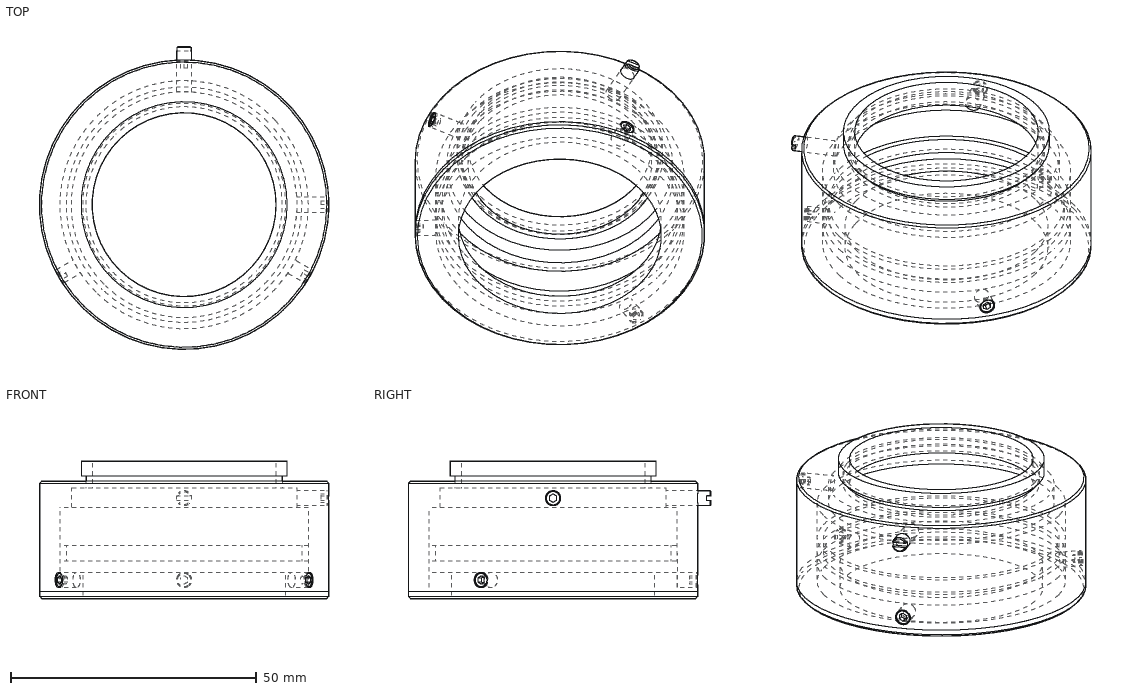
import cadquery as cq
import math

body_radius = 29.5
total_height = 28.0
screw_tip_reach = 32.2

cap_flange_top = 1.5
cap_plug_top = 5.35
spacer_bottom = 7.7
spacer_top = 10.85
bore_top = 18.6
adapter_bottom = 22.5
housing_top = 23.95
collar_height = 3.0

adapter_bore_radius = 18.7
neck_radius = 20.0
cap_bore_radius = 20.7
collar_radius = 21.0
recess_radius = 23.0
spacer_bore_radius = 24.0
housing_bore_radius = 25.3

cap_chamfer = 0.5
housing_chamfer = 0.45

screw_radius = 1.55
lower_screw_height = 3.8
upper_screw_height = 20.5
lower_screw_angles = (90, 210, 330)
side_screw_angle = 0
slotted_screw_angle = 90
slotted_screw_chamfer = 0.25
socket_screw_chamfer = 0.2
screw_recess = 0.2
hex_across_flats = 1.5
hex_depth = 1.5
slot_width = 0.9
slot_depth = 0.9

cut_overrun = 0.6

socket_screw_places = [(angle, lower_screw_height, housing_bore_radius) for angle in lower_screw_angles]
socket_screw_places.append((side_screw_angle, upper_screw_height, recess_radius))


def tube(outer_radius, inner_radius, bottom, top):
    """Ring about the Z axis between two heights."""
    profile = cq.Workplane("XY").workplane(offset=bottom).circle(outer_radius).circle(inner_radius)
    return profile.extrude(top - bottom)


def cylinder(radius, bottom, top):
    """Solid disc about the Z axis between two heights."""
    return cq.Workplane("XY").workplane(offset=bottom).circle(radius).extrude(top - bottom)


def outward_direction(angle):
    """Horizontal unit vector at an angle from the X axis, in degrees."""
    return cq.Vector(math.cos(math.radians(angle)), math.sin(math.radians(angle)), 0)


def radial_plane(angle, height, distance):
    """Workplane facing outwards, at a distance from the axis in the given direction."""
    outward = outward_direction(angle)
    origin = outward * distance + cq.Vector(0, 0, height)
    return cq.Workplane(cq.Plane(origin=origin, xDir=(0, 0, 1), normal=outward))


def screw_hole(angle, height, inner_distance):
    """Cutter for a radial screw hole through the housing wall.

    It starts inside the cavity that the hole opens into.
    """
    start = inner_distance - screw_radius
    return radial_plane(angle, height, start).circle(screw_radius).extrude(body_radius - start + cut_overrun)


def make_housing():
    """Outer shell with a stepped bore and radial screw holes."""
    shell = cylinder(body_radius, cap_flange_top, housing_top).faces(">Z").edges().chamfer(housing_chamfer)
    shell = shell.cut(cylinder(housing_bore_radius, cap_flange_top, bore_top))
    shell = shell.cut(cylinder(recess_radius, bore_top, adapter_bottom))
    shell = shell.cut(cylinder(neck_radius, adapter_bottom, housing_top))
    for angle, height, inner_distance in socket_screw_places:
        shell = shell.cut(screw_hole(angle, height, inner_distance))
    return shell.cut(screw_hole(slotted_screw_angle, upper_screw_height, recess_radius))


def make_adapter():
    """Neck seated in the top of the housing, with a wider collar above it."""
    collar_bottom = total_height - collar_height
    neck = tube(neck_radius, adapter_bore_radius, adapter_bottom, collar_bottom)
    return neck.union(tube(collar_radius, adapter_bore_radius, collar_bottom, total_height))


def make_spacer():
    """Plain ring inside the housing bore."""
    return tube(housing_bore_radius, spacer_bore_radius, spacer_bottom, spacer_top)


def make_cap():
    """Bottom flange with a plug that fills the lower end of the housing bore."""
    flange = cylinder(body_radius, 0, cap_flange_top).faces("<Z").edges().chamfer(cap_chamfer)
    plug = cylinder(housing_bore_radius, cap_flange_top, cap_plug_top)
    return flange.union(plug).cut(cylinder(cap_bore_radius, 0, cap_plug_top))


def screw_blank(angle, height, inner_distance, outer_distance, tip_chamfer):
    """Round radial screw with a chamfered outer end."""
    length = outer_distance - inner_distance
    blank = radial_plane(angle, height, inner_distance).circle(screw_radius).extrude(length)
    tip_face = cq.selectors.DirectionMinMaxSelector(outward_direction(angle))
    return blank.faces(tip_face).edges().chamfer(tip_chamfer)


def make_socket_screw(angle, height, inner_distance):
    """Headless screw with a hexagon socket, just below the housing wall."""
    outer_distance = body_radius - screw_recess
    hex_diameter = hex_across_flats / math.cos(math.pi / 6)
    socket = radial_plane(angle, height, outer_distance).polygon(6, hex_diameter).extrude(-hex_depth)
    blank = screw_blank(angle, height, inner_distance, outer_distance, socket_screw_chamfer)
    return blank.cut(socket)


def make_slotted_screw():
    """Screw standing out of the housing, with a level slot across its tip."""
    blank = screw_blank(
        slotted_screw_angle, upper_screw_height, recess_radius, screw_tip_reach, slotted_screw_chamfer
    )
    slot = (
        radial_plane(slotted_screw_angle, upper_screw_height, screw_tip_reach)
        .rect(slot_width, 2 * screw_radius + cut_overrun)
        .extrude(-slot_depth)
    )
    return blank.cut(slot)


housing = make_housing()
adapter = make_adapter()
spacer = make_spacer()
cap = make_cap()
slotted_screw = make_slotted_screw()
socket_screws = [make_socket_screw(*place) for place in socket_screw_places]

result = cq.Compound.makeCompound(
    [
        housing.val(),
        adapter.val(),
        spacer.val(),
        cap.val(),
        slotted_screw.val(),
        *[screw.val() for screw in socket_screws],
    ]
)